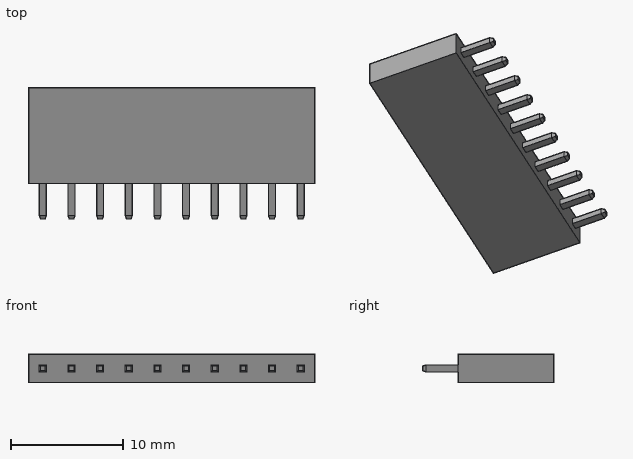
import cadquery as cq

pin_count = 10
pitch = 2.55
housing_length = pin_count * pitch
housing_depth = 8.5
housing_height = pitch

tip_width = 0.4
pin_length = 3.15
tip_length = 0.3
tip_inset = 0.117
pin_width = tip_width + 2 * tip_inset


def make_housing():
    """Plain block with its pin face on the plane Y = 0."""
    return cq.Workplane("XY").box(
        housing_length, housing_depth, housing_height, centered=(True, False, True)
    )


def make_pin(x):
    """Square pin at the given X, pointing along -Y and tapered at its tip."""
    shank_length = pin_length - tip_length
    shank = (
        cq.Workplane("XZ")
        .center(x, 0)
        .rect(pin_width, pin_width)
        .extrude(shank_length)
    )
    tip = (
        cq.Workplane("XZ", origin=(x, -shank_length, 0))
        .rect(pin_width, pin_width)
        .workplane(offset=tip_length)
        .rect(tip_width, tip_width)
        .loft(ruled=True)
    )
    return shank.union(tip)


result = make_housing()
for index in range(pin_count):
    pin_x = (index - (pin_count - 1) / 2) * pitch
    result = result.union(make_pin(pin_x))